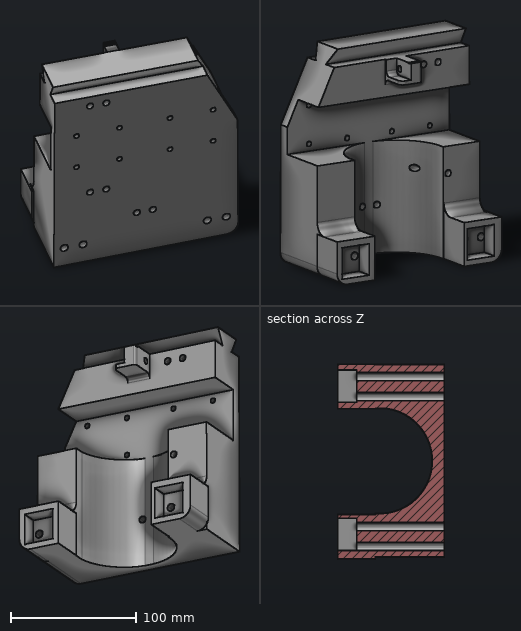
import cadquery as cq

width = 85.0
height = 180.8
length = 153.8
plate_face_x = 75.0
column_face_x = 30.0
head_face_x = 45.0
column_top = 92.2
head_bottom = 135.8
corner_radius = 10.0
overlap = 1.8

slope_start_z = 114.6
slope_top_y = 121.1
front_setback = 0.7
back_setback = 0.5
rail_tilt = 0.5
rail_height = 13.2
rail_center_x = 65.3
rail_top_width = 30.7
rail_root_width = 15.5

bore_x = 33.3
bore_y = 76.8
bore_radius = 42.0
bore_flat_y = 118.4

foot_height = 36.2
foot_overhang = 1.5
front_foot_inner_y = 34.2
back_foot_inner_y = 118.2
foot_pocket_size = 25.5
foot_pocket_height = 25.9
foot_pocket_bottom = 4.9
foot_pocket_depth = 15.0
foot_pocket_centers = (18.3, 136.3)

tab_tip_x = 21.7
tab_front_y = 60.0
tab_back_y = 79.9
tab_split_y = 70.3
tab_bottom = 150.2
tab_root_radius = 4.0
tab_floor = 153.5
tab_recess_x = 43.4
tab_recess_radius = 4.3
tab_front_radius = 2.2
tab_back_radius = 4.5
tab_hole_x = 38.7
tab_hole_z = 159.0
tab_hole_diameter = 5.0
tab_groove_start_x = 23.3
tab_groove_end_x = 26.0
tab_groove_depth = 0.5

plate_holes = [(y, z) for y in (19.0, 54.8, 96.9, 132.9) for z in (98.2, 130.0)]
plate_hole_diameter = 4.2
pair_holes = [(y, z) for y in (30.2, 43.7) for z in (70.0, 158.0)]
pair_holes += [(69.2, 40.0), (82.6, 40.0)]
pair_hole_diameter = 5.5
foot_holes = [(y, foot_height / 2) for y in (8.7, 24.4, 128.0, 143.9)]
foot_hole_diameter = 6.3


def box(x0, x1, y0, y1, z0, z1):
    return cq.Workplane("XY").box(x1 - x0, y1 - y0, z1 - z0, centered=False).translate((x0, y0, z0))


def along_y(points, y0, y1):
    """Extrude an XZ polygon from y0 to y1."""
    return cq.Workplane("XZ", origin=(0, y0, 0)).polyline(points).close().extrude(y0 - y1)


def tilt(solid):
    """Lean a solid about the front top edge of the rail."""
    return solid.rotate((0, 0, height), (1, 0, height), -rail_tilt)


def make_head():
    """Upper block with the dovetail rail; its ends are trimmed by the side outline."""
    ledge = height - rail_height
    half_root = rail_root_width / 2
    half_top = rail_top_width / 2
    profile = [
        (width, tab_bottom),
        (width, ledge),
        (rail_center_x + half_root, ledge),
        (rail_center_x + half_top, height),
        (rail_center_x - half_top, height),
        (rail_center_x - half_root, ledge),
        (head_face_x, ledge),
        (head_face_x, tab_bottom),
    ]
    upper = tilt(along_y(profile, -overlap, length + overlap))
    lower = box(head_face_x, width, 0, length, head_bottom, tab_bottom + overlap)
    return upper.union(lower)


def make_side_outline():
    """YZ outline with leaning ends, the sloping top and the rounded lower corner."""
    outline = (
        cq.Workplane("YZ")
        .lineTo(length, 0)
        .lineTo(length - back_setback, slope_start_z)
        .lineTo(slope_top_y, height)
        .lineTo(front_setback, height)
        .close()
        .extrude(width)
    )
    return outline.edges("|X and <Z").edges(">Y").fillet(corner_radius)


def make_foot(y0, y1, outer):
    """Square foot; outer selects the side whose lower edge is rounded."""
    foot = box(0, column_face_x, y0, y1, 0, foot_height)
    return foot.edges("|X and <Z and " + outer).fillet(corner_radius)


def make_web(y0, y1):
    """Concave quarter-round joining a foot to the column."""
    x0 = column_face_x - corner_radius
    web = box(x0, column_face_x, y0, y1, foot_height, foot_height + corner_radius)
    round_cut = (
        cq.Workplane("XZ", origin=(x0, y0, foot_height + corner_radius))
        .circle(corner_radius)
        .extrude(y0 - y1)
    )
    return web.cut(round_cut)


def make_bore():
    bore = cq.Workplane("XY").center(bore_x, bore_y).circle(bore_radius).extrude(column_top)
    limit = box(column_face_x, plate_face_x, 0, bore_flat_y, 0, column_top)
    return bore.intersect(limit)


def make_tab():
    """Tab with a recessed back half, a root fillet below and a cross hole."""
    tab = box(tab_tip_x, head_face_x, tab_front_y, tab_back_y, tab_bottom, height)
    tab = tab.edges("|Z and <X and <Y").fillet(tab_front_radius)
    tab = tab.edges("|Z and <X and >Y").fillet(tab_back_radius)
    recess = box(tab_tip_x, tab_recess_x, tab_split_y, tab_back_y, tab_floor, height)
    recess = recess.edges("|Y and >X and <Z").fillet(tab_recess_radius)
    ledge = height - rail_height
    groove = box(
        tab_groove_start_x, tab_groove_end_x, tab_front_y, tab_split_y, ledge - tab_groove_depth, ledge
    )
    above = box(0, width, 0, length, ledge, height + rail_height)
    hole = (
        cq.Workplane("XZ", origin=(tab_hole_x, tab_front_y, tab_hole_z))
        .circle(tab_hole_diameter / 2)
        .extrude(tab_front_y - tab_back_y)
    )
    tab = tab.cut(recess).cut(tilt(above)).cut(tilt(groove)).cut(hole)
    root = (
        cq.Workplane("XZ", origin=(head_face_x, tab_front_y, tab_bottom))
        .lineTo(-tab_root_radius, 0)
        .radiusArc((0, -tab_root_radius), tab_root_radius)
        .close()
        .extrude(tab_front_y - tab_back_y)
    )
    return tab.union(root)


def holes_along_x(points, diameter):
    return cq.Workplane("YZ").pushPoints(points).circle(diameter / 2).extrude(width)


body = box(plate_face_x, width, 0, length, 0, head_bottom + overlap)
body = body.union(box(column_face_x, plate_face_x, 0, length, 0, column_top))
body = body.union(make_head()).intersect(make_side_outline())
body = body.cut(make_bore())

body = body.union(make_foot(-foot_overhang, front_foot_inner_y, "<Y"))
body = body.union(make_foot(back_foot_inner_y, length, ">Y"))
webs = make_web(0, front_foot_inner_y).union(make_web(bore_flat_y, length))
body = body.union(webs.intersect(make_side_outline()))
body = body.union(make_tab())

for center_y in foot_pocket_centers:
    half = foot_pocket_size / 2
    pocket_top = foot_pocket_bottom + foot_pocket_height
    body = body.cut(
        box(0, foot_pocket_depth, center_y - half, center_y + half, foot_pocket_bottom, pocket_top)
    )

body = body.cut(holes_along_x(plate_holes, plate_hole_diameter))
body = body.cut(holes_along_x(pair_holes, pair_hole_diameter))
result = body.cut(holes_along_x(foot_holes, foot_hole_diameter))